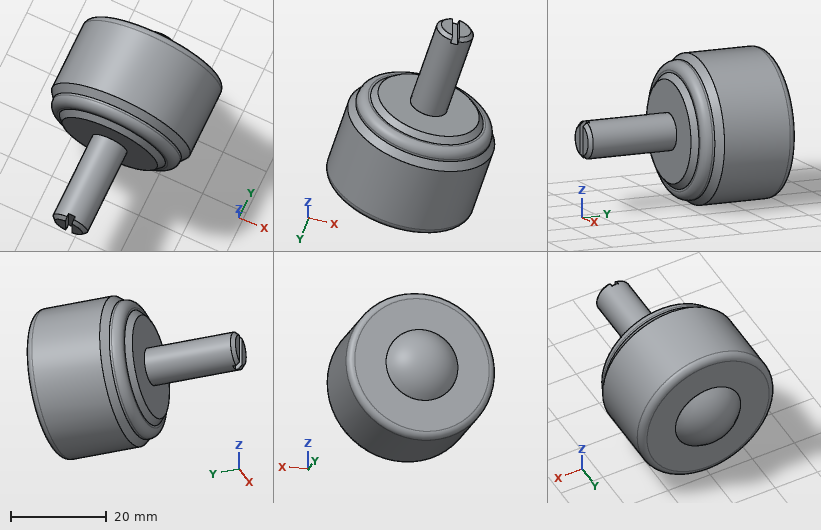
import cadquery as cq


housing_radius = 16.0
housing_length = 22.0
rim_fillet = 1.5
taper_start = 5.4

lip_radius = 14.75
lip_fillet = 2.0
lip_top = 3.75

seat_face_radius = 11.0
seat_chamfer = 1.25

ball_radius = 9.5
ball_protrusion = 4.0

stud_radius = 4.0
stud_length = 20.0
stud_chamfer = 0.8
slot_width = 1.5
slot_depth = 1.5


def make_housing():
    """Revolve the half section of the housing, with its taper, lip and seat."""
    seat_top_radius = seat_face_radius + seat_chamfer
    lip_flat_radius = lip_radius - lip_fillet
    lip_round_end = seat_chamfer + lip_fillet
    rim_start = housing_length - rim_fillet
    return (
        cq.Workplane("XY")
        .moveTo(0, 0)
        .lineTo(seat_face_radius, 0)
        .lineTo(seat_top_radius, seat_chamfer)
        .lineTo(lip_flat_radius, seat_chamfer)
        .radiusArc((lip_radius, lip_round_end), -lip_fillet)
        .lineTo(lip_radius, lip_top)
        .lineTo(housing_radius, taper_start)
        .lineTo(housing_radius, rim_start)
        .radiusArc((housing_radius - rim_fillet, housing_length), -rim_fillet)
        .lineTo(0, housing_length)
        .close()
        .revolve(360, (0, 0, 0), (0, 1, 0))
    )


def make_ball():
    """Ball that protrudes from the +Y face of the housing."""
    ball_center = housing_length + ball_protrusion - ball_radius
    return cq.Workplane("XY").sphere(ball_radius).translate((0, ball_center, 0))


def make_stud():
    """Round stud with a chamfered tip and a screwdriver slot along Z."""
    stud = (
        cq.Workplane("XZ")
        .circle(stud_radius)
        .extrude(stud_length)
        .faces("<Y")
        .chamfer(stud_chamfer)
    )
    slot = (
        cq.Workplane("XY")
        .box(slot_width, slot_depth, 2 * stud_radius)
        .translate((0, slot_depth / 2 - stud_length, 0))
    )
    return stud.cut(slot)


result = make_housing().union(make_ball()).union(make_stud())